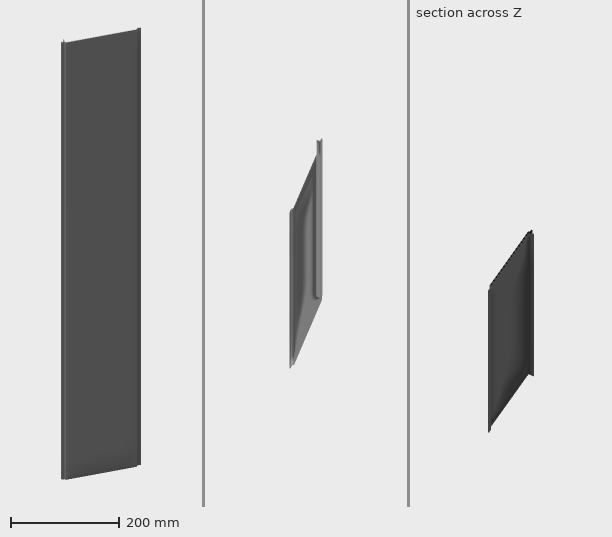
import cadquery as cq

DEPTH = 12.0
WIDTH = 154.0
LENGTH = 1000.0

SHEET = 1.7
STRIP_SHEET = 2.5

LIP_SETBACK = 3.5
LIP_LENGTH = 5.5
LIP_STEP = 5.5
STRIP_SETBACK = 2.9
STRIP_LENGTH = 5.5

INNER_BEND = 2.5
OUTER_BEND = 3.0
TIP_ROUND = 0.5

OUTER_X = DEPTH / 2
INNER_X = OUTER_X - SHEET
LIP_OUTER_X = OUTER_X - LIP_SETBACK
LIP_INNER_X = LIP_OUTER_X - SHEET
STRIP_OUTER_X = OUTER_X - STRIP_SETBACK
STRIP_INNER_X = STRIP_OUTER_X - STRIP_SHEET
FLANGE_TIP_X = -DEPTH / 2

TOP_Y = WIDTH / 2
LIP_Y = TOP_Y - LIP_LENGTH
STEP_Y = LIP_Y - LIP_STEP
STEP_MID_Y = (LIP_Y + STEP_Y) / 2
BOTTOM_Y = -WIDTH / 2
FLANGE_BOTTOM_Y = BOTTOM_Y + STRIP_LENGTH
FLANGE_MID_Y = FLANGE_BOTTOM_Y + SHEET / 2
FLANGE_TOP_Y = FLANGE_BOTTOM_Y + SHEET


def make_wall_and_flange():
    """Wall with an S-shaped step to the lip at +Y and a square-cornered flange at -Y."""
    return (
        cq.Workplane("XY")
        .moveTo(OUTER_X, FLANGE_BOTTOM_Y)
        .lineTo(OUTER_X, STEP_Y)
        .tangentArcPoint(((OUTER_X + LIP_OUTER_X) / 2, STEP_MID_Y), relative=False)
        .tangentArcPoint((LIP_OUTER_X, LIP_Y), relative=False)
        .lineTo(LIP_OUTER_X, TOP_Y)
        .lineTo(LIP_INNER_X, TOP_Y)
        .lineTo(LIP_INNER_X, LIP_Y)
        .tangentArcPoint(((INNER_X + LIP_INNER_X) / 2, STEP_MID_Y), relative=False)
        .tangentArcPoint((INNER_X, STEP_Y), relative=False)
        .lineTo(INNER_X, FLANGE_TOP_Y)
        .lineTo(FLANGE_TIP_X, FLANGE_TOP_Y)
        .lineTo(FLANGE_TIP_X, FLANGE_BOTTOM_Y)
        .close()
        .extrude(LENGTH / 2, both=True)
    )


def upright_edge(x, y):
    """Selects the edge along Z through the point (x, y)."""
    return cq.selectors.NearestToPointSelector((x, y, 0))


def round_bend_and_tip(body):
    """Rounds both sides of the bend and the two corners of the flange tip."""
    body = body.edges(upright_edge(INNER_X, FLANGE_TOP_Y)).fillet(INNER_BEND)
    body = body.edges(upright_edge(OUTER_X, FLANGE_BOTTOM_Y)).fillet(OUTER_BEND)
    return body.edges("|Z and <X").fillet(TIP_ROUND)


def make_strip():
    """Strip that hangs to -Y from the flange, just inside the rounded corner."""
    return (
        cq.Workplane("XY")
        .moveTo(STRIP_INNER_X, BOTTOM_Y)
        .lineTo(STRIP_OUTER_X, BOTTOM_Y)
        .lineTo(STRIP_OUTER_X, FLANGE_MID_Y)
        .lineTo(STRIP_INNER_X, FLANGE_MID_Y)
        .close()
        .extrude(LENGTH / 2, both=True)
    )


result = round_bend_and_tip(make_wall_and_flange()).union(make_strip())